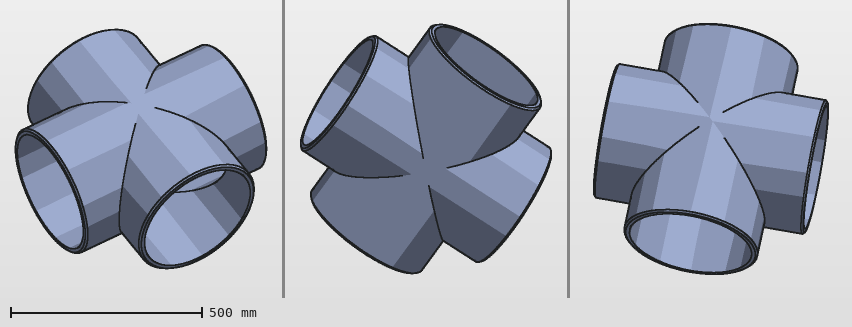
import cadquery as cq

outer_diameter = 355.6
wall_thickness = 15.0
overall_length = 558.0
end_chamfer = 5.0

inner_diameter = outer_diameter - 2 * wall_thickness


def centred_cylinder(plane, diameter):
    """Cylinder of the full length, centred on the origin along the plane's normal."""
    return cq.Workplane(plane).circle(diameter / 2).extrude(overall_length / 2, both=True)


def outer_pipe(plane):
    """Solid outer body of one run, with both outer end edges chamfered."""
    return centred_cylinder(plane, outer_diameter).edges("%CIRCLE").chamfer(end_chamfer)


run_planes = ("YZ", "XZ")

result = cq.Workplane("XY")
for plane in run_planes:
    result = result.union(outer_pipe(plane))
for plane in run_planes:
    result = result.cut(centred_cylinder(plane, inner_diameter))